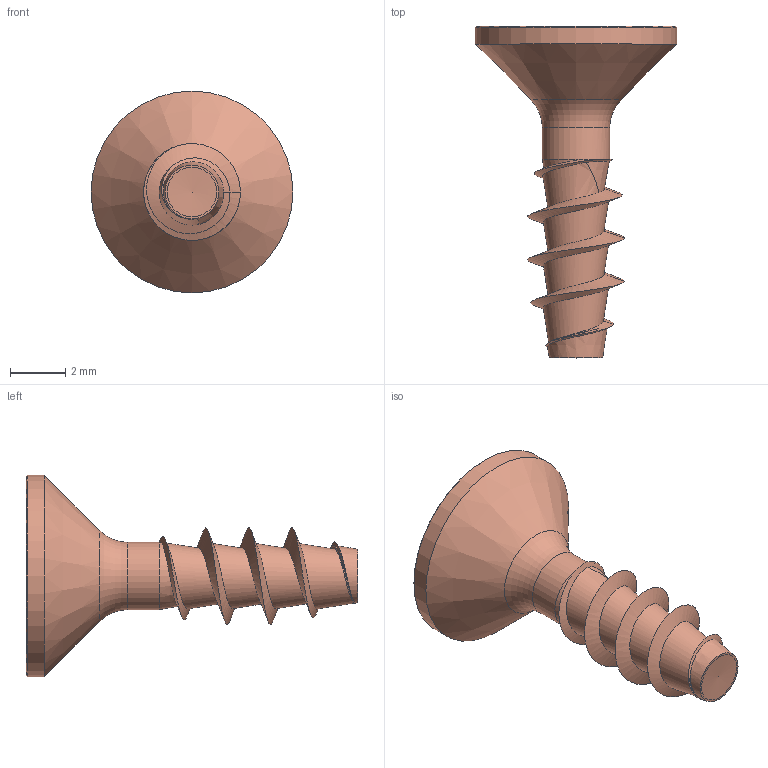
import cadquery as cq
import math

length = 12.0

head_radius = 3.65
rim_depth = 0.65
rim_edge_break = 0.04
shank_radius = 1.22
neck_fillet_radius = 1.43
head_half_angle = math.radians(45)
thread_start_depth = 4.82

core_large_radius = 1.205
tip_radius = 0.97
taper_slope = 0.157
lead_cone_slope = 0.18
lead_cone_length = 1.6

dimple_radius = 0.9
dimple_depth = 0.04

pitch = 1.563
crest_radius = 1.75
ridge_start_gap = 0.02
crest_start_depth = 4.93
crest_start_radius = 1.42
run_in_slope = 0.21
run_out_depth = 9.7
run_out_slope = 0.35
flank_slope = 0.34
ridge_root_radius = 0.7
ridge_first_turn = -0.25
ridge_last_turn = 4.75

relief_begin = 0.05
relief_end = pitch - relief_begin
relief_outer_radius = 1.35
relief_first_turn = -1.25
relief_last_turn = 4.75
core_small_radius = core_large_radius - taper_slope * (relief_end - relief_begin)

stretches_per_turn = 1
steps_per_stretch = 24


def crest_depth(turn):
    return crest_start_depth + pitch * turn


def crest_radius_at(turn):
    depth = crest_depth(turn)
    run_in = crest_start_radius + run_in_slope * (depth - crest_start_depth)
    run_out = crest_radius - run_out_slope * (depth - run_out_depth)
    return min(run_in, crest_radius, run_out)


def helix_point(turn, radius, offset):
    """Point on the helix, which goes from +Z to -X as it advances towards the tip."""
    angle = 2 * math.pi * turn
    return cq.Vector(-radius * math.sin(angle), -crest_depth(turn) - offset, radius * math.cos(angle))


def helical_solid(section, first_turn, last_turn):
    """Solid swept along the helix; section(turn) lists its (radius, axial offset) corners."""

    def ring_at(turn):
        return [helix_point(turn, *corner) for corner in section(turn)]

    faces = []
    stretches = round((last_turn - first_turn) * stretches_per_turn)
    for stretch in range(stretches):
        start = first_turn + stretch / stretches_per_turn
        rings = [
            ring_at(start + i / (stretches_per_turn * steps_per_stretch))
            for i in range(steps_per_stretch + 1)
        ]
        edges = [cq.Edge.makeSpline(list(track)) for track in zip(*rings)]
        faces += [cq.Face.makeRuledSurface(edges[i - 1], edges[i]) for i in range(len(edges))]
    for end_turn in (first_turn, last_turn):
        faces.append(cq.Face.makeFromWires(cq.Wire.makePolygon(ring_at(end_turn), close=True)))
    solid = cq.Solid.makeSolid(cq.Shell.makeShell(faces)).fix()
    return cq.Workplane(obj=solid)


def ridge_section(turn):
    crest = crest_radius_at(turn)
    half_width = flank_slope * (crest - ridge_root_radius)
    shift = max(0, thread_start_depth + ridge_start_gap - crest_depth(turn))
    return [
        (crest, shift),
        (ridge_root_radius, shift + half_width),
        (ridge_root_radius, shift - half_width),
    ]


def relief_section(turn):
    return [
        (core_large_radius, relief_begin),
        (core_small_radius, relief_end),
        (relief_outer_radius, relief_end),
        (relief_outer_radius, relief_begin),
    ]


def revolved(profile):
    """Solid turned about the Y axis from a closed half profile in the YZ plane."""
    return profile.close().revolve(360, (0, 0, 0), (1, 0, 0))


def make_head_and_shank():
    fillet_rise = neck_fillet_radius * (1 - math.cos(head_half_angle))
    fillet_run = neck_fillet_radius * math.sin(head_half_angle)
    neck_radius = shank_radius + fillet_rise
    neck_depth = rim_depth + (head_radius - neck_radius) / math.tan(head_half_angle)
    fillet_end_depth = neck_depth + fillet_run
    mid_angle = head_half_angle / 2
    fillet_middle = (
        -fillet_end_depth + neck_fillet_radius * math.sin(mid_angle),
        shank_radius + neck_fillet_radius * (1 - math.cos(mid_angle)),
    )
    return revolved(
        cq.Workplane("YZ")
        .lineTo(0, head_radius - rim_edge_break)
        .lineTo(-rim_edge_break, head_radius)
        .lineTo(-rim_depth, head_radius)
        .lineTo(-neck_depth, neck_radius)
        .threePointArc(fillet_middle, (-fillet_end_depth, shank_radius))
        .lineTo(-thread_start_depth, shank_radius)
        .lineTo(-thread_start_depth, 0)
    )


def make_core():
    """Threaded core: rod with a conical, dimpled tip, relieved between the ridges."""
    tip_cone_depth = length - (shank_radius - tip_radius) / taper_slope
    rod = revolved(
        cq.Workplane("YZ")
        .moveTo(-thread_start_depth, 0)
        .lineTo(-thread_start_depth, shank_radius)
        .lineTo(-tip_cone_depth, shank_radius)
        .lineTo(-length, tip_radius)
        .lineTo(-length, dimple_radius)
        .lineTo(-length + dimple_depth, 0)
    )
    lead_cone_end_depth = thread_start_depth + lead_cone_length
    lead_cone = revolved(
        cq.Workplane("YZ")
        .moveTo(-thread_start_depth, 0)
        .lineTo(-thread_start_depth, shank_radius)
        .lineTo(-lead_cone_end_depth, shank_radius - lead_cone_slope * lead_cone_length)
        .lineTo(-lead_cone_end_depth, 0)
    )
    relief = helical_solid(relief_section, relief_first_turn, relief_last_turn)
    return rod.cut(relief.cut(lead_cone))


def make_ridge():
    """Thread ridge, cut off square at the end of the shank and just short of the dimpled tip."""
    threaded_length = (
        cq.Workplane("XZ", origin=(0, -thread_start_depth, 0))
        .circle(2 * crest_radius)
        .extrude(length - dimple_depth - thread_start_depth)
    )
    return helical_solid(ridge_section, ridge_first_turn, ridge_last_turn).intersect(threaded_length)


screw = make_core().union(make_ridge()).union(make_head_and_shank())
result = screw.solids()